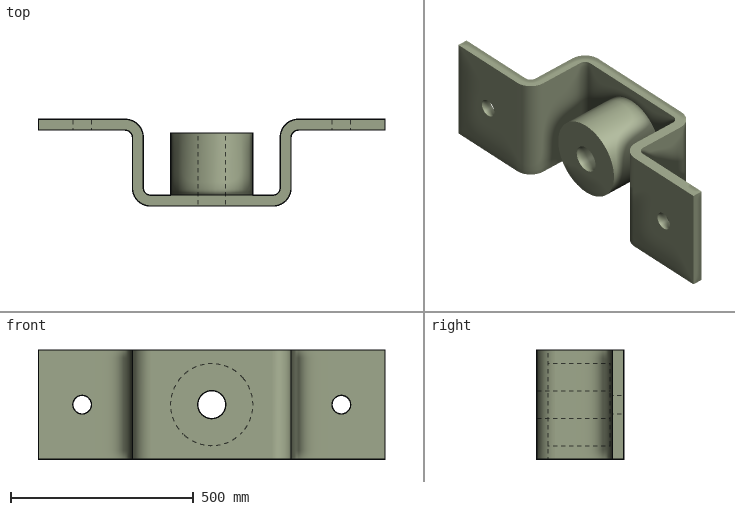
import cadquery as cq

length = 950.0
depth = 238.0
height = 300.0
thickness = 30.0
channel_width = 435.0
inner_bend_radius = 20.0
outer_bend_radius = inner_bend_radius + thickness

boss_diameter = 225.0
boss_length = 170.0
boss_bore = 76.0

flange_hole_diameter = 50.0
flange_hole_spacing = 710.0


def centred_box(width, y_start, y_end):
    """Full-height block centred on X and Z, spanning y_start to y_end."""
    return cq.Workplane("XY").box(width, y_end - y_start, height).translate((0, (y_start + y_end) / 2, 0))


def cylinder_along_y(x, diameter, y_start, y_end):
    """Cylinder with its axis along Y, spanning y_start to y_end."""
    base = cq.Workplane("XZ", origin=(x, y_start, 0))
    return base.circle(diameter / 2).extrude(y_start - y_end)


def round_bend(strip, x, y, radius):
    """Round the matching vertical edges on both sides of the channel."""
    for side in (-1, 1):
        corner = cq.selectors.NearestToPointSelector((side * x, y, 0))
        strip = strip.edges("|Z").edges(corner).fillet(radius)
    return strip


def bent_strip():
    """Strip with the channel web at Y = 0 and the flanges at full depth."""
    flange_front = depth - thickness
    inner_width = channel_width - 2 * thickness
    strip = centred_box(channel_width, 0, depth).union(centred_box(length, flange_front, depth))
    strip = strip.cut(centred_box(inner_width, thickness, depth))
    strip = round_bend(strip, channel_width / 2, 0, outer_bend_radius)
    strip = round_bend(strip, inner_width / 2, thickness, inner_bend_radius)
    strip = round_bend(strip, channel_width / 2, flange_front, inner_bend_radius)
    strip = round_bend(strip, inner_width / 2, depth, outer_bend_radius)
    return strip


result = bent_strip()
boss_end = thickness + boss_length
result = result.union(cylinder_along_y(0, boss_diameter, thickness, boss_end))
result = result.cut(cylinder_along_y(0, boss_bore, 0, boss_end))
for side in (-1, 1):
    hole_x = side * flange_hole_spacing / 2
    result = result.cut(cylinder_along_y(hole_x, flange_hole_diameter, 0, depth))